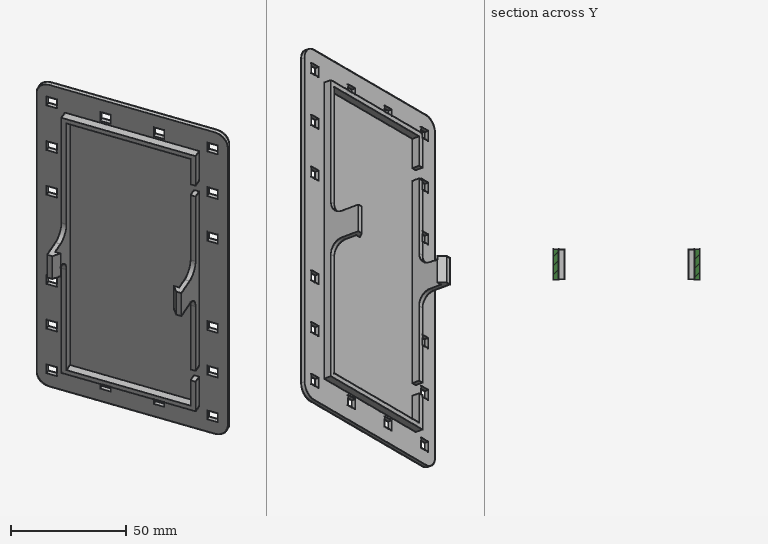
import cadquery as cq

PLATE_WIDTH = 90.5
PLATE_HEIGHT = 171.5
PLATE_THICKNESS = 2.0
CORNER_RADIUS = 6.3

HOLE_SIZE = 5.0
HOLE_PITCH = 25.4
HOLE_COLUMNS = 4
HOLE_ROWS = 7

FRAME_WIDTH = 63.6
FRAME_HEIGHT = 145.0
FRAME_WALL = 2.4
FRAME_RISE = 3.8

GAP_LENGTH = 6.2
GAP_CENTER_Z = 52.6

ARM_WIDTH = 13.0
ARM_REACH = 21.1
ARM_ROOT_RADIUS = 6.3

LIP_OVERHANG = 2.5
LIP_LENGTH = 3.1

FRAME_FACE = PLATE_THICKNESS + FRAME_RISE


def block(size_x, size_z, depth):
    """Block centred in X and Z that reaches forward (-Y) from the back face."""
    return cq.Workplane("XZ").rect(size_x, size_z).extrude(depth)


def make_plate():
    plate = block(PLATE_WIDTH, PLATE_HEIGHT, PLATE_THICKNESS)
    return plate.edges("|Y").fillet(CORNER_RADIUS)


def hole_positions():
    """Border positions of the hole grid; the middle row has no holes."""
    last_column = (HOLE_COLUMNS - 1) / 2
    last_row = (HOLE_ROWS - 1) // 2
    positions = []
    for row in range(-last_row, last_row + 1):
        for index in range(HOLE_COLUMNS):
            column = index - last_column
            on_end_row = abs(row) == last_row
            on_side_column = abs(column) == last_column and row != 0
            if on_end_row or on_side_column:
                positions.append((column * HOLE_PITCH, row * HOLE_PITCH))
    return positions


def make_holes():
    return (
        cq.Workplane("XZ")
        .pushPoints(hole_positions())
        .rect(HOLE_SIZE, HOLE_SIZE)
        .extrude(PLATE_THICKNESS)
    )


def make_frame():
    opening = block(FRAME_WIDTH - 2 * FRAME_WALL, FRAME_HEIGHT - 2 * FRAME_WALL, FRAME_FACE)
    frame = block(FRAME_WIDTH, FRAME_HEIGHT, FRAME_FACE).cut(opening)
    wall_center_x = (FRAME_WIDTH - FRAME_WALL) / 2
    gap = block(FRAME_WALL, GAP_LENGTH, FRAME_FACE)
    for side in (-1, 1):
        frame = frame.cut(gap.translate((wall_center_x, 0, side * GAP_CENTER_Z)))
    return frame


def make_left_arm():
    """Snap arm on the -X side, with concave root fillets and an inward lip."""
    outer_x = -FRAME_WIDTH / 2
    inner_x = outer_x + FRAME_WALL
    half_width = ARM_WIDTH / 2
    root_half_width = half_width + ARM_ROOT_RADIUS
    fillet_end_y = -(FRAME_FACE + ARM_ROOT_RADIUS)

    arm = (
        cq.Workplane("YZ", origin=(outer_x, 0, 0))
        .moveTo(0, -root_half_width)
        .lineTo(-FRAME_FACE, -root_half_width)
        .radiusArc((fillet_end_y, -half_width), -ARM_ROOT_RADIUS)
        .lineTo(-ARM_REACH, -half_width)
        .lineTo(-ARM_REACH, half_width)
        .lineTo(fillet_end_y, half_width)
        .radiusArc((-FRAME_FACE, root_half_width), -ARM_ROOT_RADIUS)
        .lineTo(0, root_half_width)
        .close()
        .extrude(FRAME_WALL)
    )

    lip_back_y = -ARM_REACH + LIP_LENGTH
    lip = (
        cq.Workplane("XY", origin=(0, 0, -half_width))
        .moveTo(inner_x, -ARM_REACH)
        .lineTo(inner_x + LIP_OVERHANG, lip_back_y)
        .lineTo(inner_x, lip_back_y)
        .close()
        .extrude(ARM_WIDTH)
    )
    return arm.union(lip)


left_arm = make_left_arm()
right_arm = left_arm.mirror("YZ")

result = make_plate().cut(make_holes()).union(make_frame()).union(left_arm).union(right_arm)